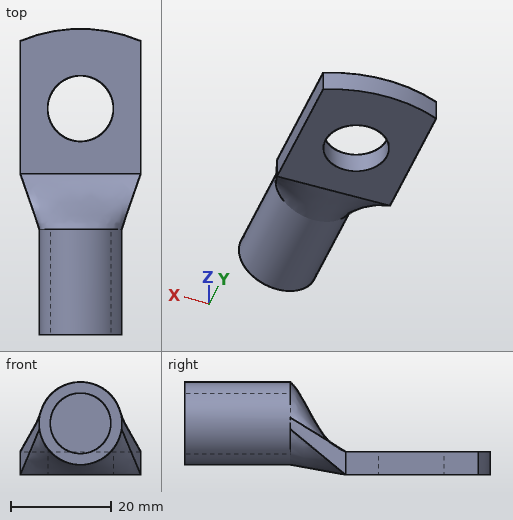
import cadquery as cq
import math

total_length = 60.9
palm_width = 24.0
palm_thickness = 4.6
palm_end_rise = 2.45
hole_diameter = 13.05
hole_to_end = 15.9
barrel_length = 21.0
barrel_diameter = 16.5
barrel_lift = 2.0
bore_diameter = 12.05
neck_length = 11.0
flank_angle = math.radians(8.0)

crown_shares = [(0, 0), (0.25, 0.11), (0.5, 0.36), (0.75, 0.72), (1, 1)]

barrel_radius = barrel_diameter / 2
barrel_axis_z = barrel_lift + barrel_radius
palm_start = barrel_length + neck_length
palm_corner = total_length - palm_end_rise
half_width = palm_width / 2


def barrel():
    """Round tube wall, solid until bored."""
    return (
        cq.Workplane("XZ", origin=(0, 0, barrel_axis_z))
        .circle(barrel_radius)
        .extrude(-barrel_length)
    )


def between(palm_value, rim_value, along):
    """Straight blend from the palm (along = 0) to the barrel rim (along = 1)."""
    return palm_value + along * (rim_value - palm_value)


def neck_section(along, rise):
    """Closed outline across the neck: straight upright flanks, arched top and underside."""
    flank_x = between(half_width, barrel_radius * math.cos(flank_angle), along)
    flank_half_height = barrel_radius * math.sin(flank_angle)
    flank_top = between(palm_thickness, barrel_axis_z + flank_half_height, along)
    flank_bottom = between(0, barrel_axis_z - flank_half_height, along)
    crown = between(palm_thickness, barrel_lift + barrel_diameter, rise)
    keel = between(0, barrel_lift, along)

    station_y = between(palm_start, barrel_length, along)
    outline = cq.Workplane("XZ", origin=(0, station_y, 0)).moveTo(flank_x, flank_bottom)
    if along == 0:
        outline = (
            outline.lineTo(flank_x, flank_top)
            .lineTo(-flank_x, flank_top)
            .lineTo(-flank_x, flank_bottom)
        )
    elif along == 1:
        outline = (
            outline.threePointArc((barrel_radius, barrel_axis_z), (flank_x, flank_top))
            .threePointArc((0, crown), (-flank_x, flank_top))
            .threePointArc((-barrel_radius, barrel_axis_z), (-flank_x, flank_bottom))
            .threePointArc((0, keel), (flank_x, flank_bottom))
        )
    else:
        outline = (
            outline.lineTo(flank_x, flank_top)
            .threePointArc((0, crown), (-flank_x, flank_top))
            .lineTo(-flank_x, flank_bottom)
            .threePointArc((0, keel), (flank_x, flank_bottom))
        )
    return outline.close().val()


def neck():
    """Smooth blend whose crown sags below the straight line from palm to barrel."""
    sections = [neck_section(along, rise) for along, rise in crown_shares]
    return cq.Workplane(cq.Solid.makeLoft(sections))


def palm():
    """Flat tongue with a bowed end and a bolt hole."""
    blank = (
        cq.Workplane("XY")
        .moveTo(-half_width, palm_start)
        .lineTo(half_width, palm_start)
        .lineTo(half_width, palm_corner)
        .threePointArc((0, total_length), (-half_width, palm_corner))
        .close()
        .extrude(palm_thickness)
    )
    bolt_hole = (
        cq.Workplane("XY")
        .center(0, total_length - hole_to_end)
        .circle(hole_diameter / 2)
        .extrude(palm_thickness)
    )
    return blank.cut(bolt_hole)


def bore():
    """Blind cable bore, as deep as the barrel."""
    return (
        cq.Workplane("XZ", origin=(0, 0, barrel_axis_z))
        .circle(bore_diameter / 2)
        .extrude(-barrel_length)
    )


result = barrel().union(neck()).union(palm()).cut(bore())